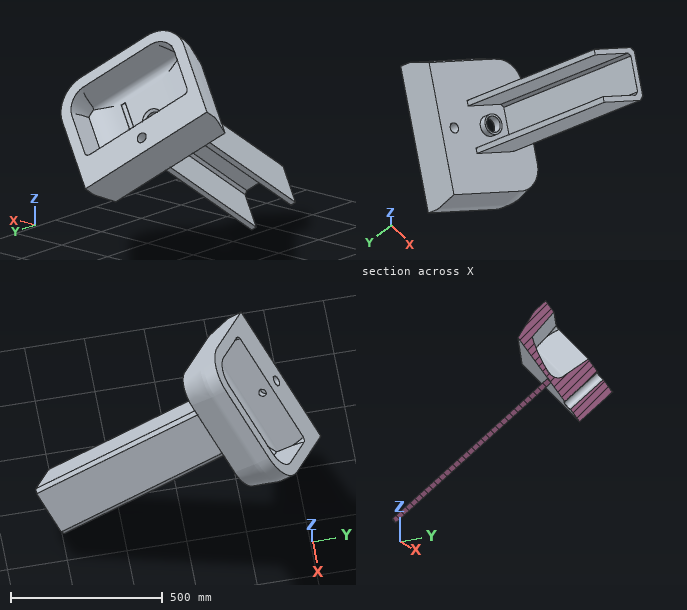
import cadquery as cq
import math


BASIN_WIDTH = 500.0
BASIN_DEPTH = 399.0
BASIN_HEIGHT = 150.0
RIM_HEIGHT = 53.0
FRONT_RADIUS = 116.0
BOTTOM_INSET = 26.0
BOTTOM_RADIUS = FRONT_RADIUS - BOTTOM_INSET
BAND_BLEND = 57.0

RIM_WALL = 40.0
LEDGE_DEPTH = 110.0
BOWL_BACK_RADIUS = 16.0
BOWL_FRONT_RADIUS = FRONT_RADIUS - RIM_WALL
BOWL_DEPTH = 135.0
BACK_WALL_DEPTH = 99.0
SIDE_WALL_DEPTH = 108.0
WALL_LEAN = 10.0
BOWL_HALF_WIDTH = BASIN_WIDTH / 2 - RIM_WALL
BOWL_FRONT = BASIN_DEPTH - RIM_WALL
FLAT_FLOOR_HALF_WIDTH = 82.0
FLOOR_CURVE_RUN = 35.0

TAP_HOLE_RADIUS = 17.0
TAP_HOLE_SETBACK = 54.0
OVERFLOW_RADIUS = 12.0
OVERFLOW_DROP = 37.0
OVERFLOW_REACH = 19.0
DRAIN_SETBACK = 199.0
DRAIN_RADIUS = 27.5
DRAIN_SEAT_RADIUS = 36.0
DRAIN_SEAT_DEPTH = 9.0
TAILPIPE_RADIUS = 35.0
TAILPIPE_LENGTH = 27.0

GROOVE_OFFSET = 80.0
GROOVE_WIDTH = 16.0
GROOVE_DEPTH = 2.0
GROOVE_START = LEDGE_DEPTH + WALL_LEAN + FLOOR_CURVE_RUN

PEDESTAL_WIDTH = 180.0
PEDESTAL_BACK = 129.0
PEDESTAL_FRONT = 296.0
PEDESTAL_HEIGHT = 700.0
PEDESTAL_WALL = 19.0
OUTER_CHAMFER = 13.0
INNER_CHAMFER = 10.0


def d_outline(level, half_width, front, radius):
    """Wire with a straight back and two rounded front corners."""
    bend = radius * (1 - math.sqrt(0.5))
    return (
        cq.Workplane("XY", origin=(0, 0, level))
        .moveTo(-half_width, 0)
        .lineTo(-half_width, radius - front)
        .threePointArc((bend - half_width, bend - front), (radius - half_width, -front))
        .lineTo(half_width - radius, -front)
        .threePointArc((half_width - bend, bend - front), (half_width, radius - front))
        .lineTo(half_width, 0)
        .close()
    )


def make_shell():
    half_width = BASIN_WIDTH / 2
    band = d_outline(-RIM_HEIGHT, half_width, BASIN_DEPTH, FRONT_RADIUS).extrude(RIM_HEIGHT)
    upper = d_outline(-RIM_HEIGHT, half_width, BASIN_DEPTH, FRONT_RADIUS).wire().val()
    lower = d_outline(
        -BASIN_HEIGHT, half_width - BOTTOM_INSET, BASIN_DEPTH - BOTTOM_INSET, BOTTOM_RADIUS
    ).wire().val()
    leaning_part = cq.Workplane(cq.Solid.makeLoft([upper, lower], True))
    margin = 1.0
    band_edge = cq.selectors.BoxSelector(
        (-BASIN_WIDTH, -2 * BASIN_DEPTH, -RIM_HEIGHT - margin),
        (BASIN_WIDTH, -margin, -RIM_HEIGHT + margin),
    )
    return band.union(leaning_part).edges(band_edge).fillet(BAND_BLEND)


def trough(plane, low, high, curve_start, curve_end, wall_depth, length):
    """Prism with leaning walls and a floor that curves up to meet them."""
    return (
        cq.Workplane(plane)
        .moveTo(low, 0)
        .lineTo(high, 0)
        .lineTo(high - WALL_LEAN, -wall_depth)
        .threePointArc(
            floor_curve_middle(curve_end, high - WALL_LEAN, wall_depth), (curve_end, -BOWL_DEPTH)
        )
        .lineTo(curve_start, -BOWL_DEPTH)
        .threePointArc(
            floor_curve_middle(curve_start, low + WALL_LEAN, wall_depth), (low + WALL_LEAN, -wall_depth)
        )
        .close()
        .extrude(length, both=True)
    )


def floor_curve_middle(floor_end, wall_end, wall_depth):
    """Middle of the arc that leaves the floor tangentially and ends on the wall."""
    rise = BOWL_DEPTH - wall_depth
    run = wall_end - floor_end
    radius = (run**2 + rise**2) / (2 * rise)
    half_angle = math.atan2(rise, abs(run))
    across = math.copysign(radius * math.sin(half_angle), run)
    return floor_end + across, -BOWL_DEPTH + radius * (1 - math.cos(half_angle))


def make_bowl():
    plan = (
        d_outline(-BOWL_DEPTH, BOWL_HALF_WIDTH, BOWL_FRONT, BOWL_FRONT_RADIUS)
        .extrude(BOWL_DEPTH)
        .intersect(
            cq.Workplane("XY")
            .box(BASIN_WIDTH, BASIN_DEPTH, BOWL_DEPTH, centered=(True, False, False))
            .translate((0, -BASIN_DEPTH - LEDGE_DEPTH, -BOWL_DEPTH))
        )
        .edges("|Z and >Y")
        .fillet(BOWL_BACK_RADIUS)
    )
    across = trough(
        "XZ", -BOWL_HALF_WIDTH, BOWL_HALF_WIDTH,
        -FLAT_FLOOR_HALF_WIDTH, FLAT_FLOOR_HALF_WIDTH, SIDE_WALL_DEPTH, BASIN_DEPTH,
    )
    inset = WALL_LEAN + FLOOR_CURVE_RUN
    along = trough(
        "YZ", -BOWL_FRONT, -LEDGE_DEPTH,
        inset - BOWL_FRONT, -LEDGE_DEPTH - inset, BACK_WALL_DEPTH, BASIN_WIDTH,
    )
    return plan.intersect(across).intersect(along)


def cylinder(radius, setback, bottom, top):
    return (
        cq.Workplane("XY", origin=(0, -setback, bottom)).circle(radius).extrude(top - bottom)
    )


def make_drain_cut():
    bottom = -BASIN_HEIGHT - TAILPIPE_LENGTH
    seat = cq.Solid.makeCone(
        DRAIN_RADIUS, DRAIN_SEAT_RADIUS, DRAIN_SEAT_DEPTH,
        pnt=cq.Vector(0, -DRAIN_SETBACK, -BOWL_DEPTH - DRAIN_SEAT_DEPTH),
    )
    return cylinder(DRAIN_RADIUS, DRAIN_SETBACK, bottom, -BOWL_DEPTH).union(cq.Workplane(seat))


def make_overflow_cut():
    length = OVERFLOW_REACH + WALL_LEAN
    return (
        cq.Workplane("XZ", origin=(0, OVERFLOW_REACH - LEDGE_DEPTH, -OVERFLOW_DROP))
        .circle(OVERFLOW_RADIUS)
        .extrude(length)
    )


def make_groove_cut():
    length = BOWL_FRONT - WALL_LEAN - FLOOR_CURVE_RUN - GROOVE_START
    return (
        cq.Workplane("XY")
        .box(GROOVE_WIDTH, length, 2 * GROOVE_DEPTH, centered=(True, False, True))
        .translate((GROOVE_OFFSET, -GROOVE_START - length, -BOWL_DEPTH))
    )


def make_basin():
    tailpipe = cylinder(
        TAILPIPE_RADIUS, DRAIN_SETBACK, -BASIN_HEIGHT - TAILPIPE_LENGTH, -BASIN_HEIGHT
    )
    return (
        make_shell()
        .union(tailpipe)
        .cut(make_bowl())
        .cut(cylinder(TAP_HOLE_RADIUS, TAP_HOLE_SETBACK, -BASIN_HEIGHT, 0))
        .cut(make_drain_cut())
        .cut(make_overflow_cut())
        .cut(make_groove_cut())
    )


def chamfered_block(width, front, chamfer):
    """Pedestal-high block from the pedestal back, with chamfered front edges."""
    depth = front - PEDESTAL_BACK
    return (
        cq.Workplane("XY")
        .box(width, depth, PEDESTAL_HEIGHT, centered=(True, False, False))
        .translate((0, -front, -BASIN_HEIGHT - PEDESTAL_HEIGHT))
        .edges("|Z and <Y")
        .chamfer(chamfer)
    )


def make_pedestal():
    outer = chamfered_block(PEDESTAL_WIDTH, PEDESTAL_FRONT, OUTER_CHAMFER)
    inner = chamfered_block(
        PEDESTAL_WIDTH - 2 * PEDESTAL_WALL, PEDESTAL_FRONT - PEDESTAL_WALL, INNER_CHAMFER
    )
    return outer.cut(inner)


def pose(body):
    """Tilt a body so that its front, top and left all turn equally towards +Z."""
    across = (math.sqrt(1 / 2), math.sqrt(1 / 6), -math.sqrt(1 / 3))
    upward = (0, math.sqrt(2 / 3), math.sqrt(1 / 3))
    return body.solids().val().moved(cq.Location(cq.Plane((0, 0, 0), across, upward)))


basin = make_basin()
pedestal = make_pedestal()
result = cq.Compound.makeCompound([pose(basin), pose(pedestal)])